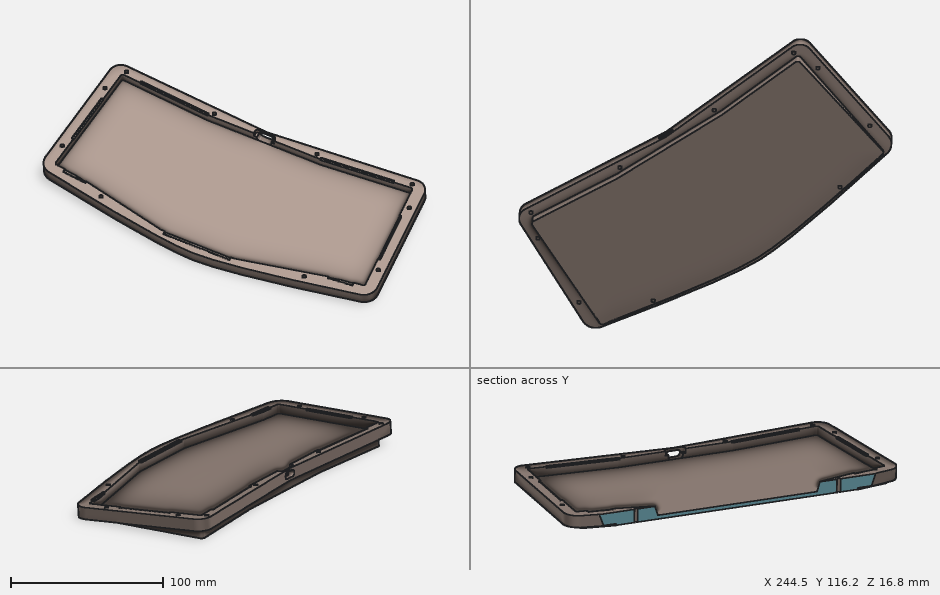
import cadquery as cq
import math


TILT = 4.2
TRAY_THICKNESS = 8.29
FRONT_MIDDLE = (0.0, 0.0)
FRONT_CURVE_POLE = (28.0, 0.0)
FRONT_CORNER = (122.92, 19.1)
BACK_CORNER = (115.1, 116.47)
BACK_MIDDLE = (0.0, 107.9)
FRONT_CORNER_RADIUS = 9.6
BACK_CORNER_RADIUS = 8.2

POCKET_DEPTH = 6.4
POCKET_FRONT_BEND = (27.0, 7.7)
POCKET_CORNER_BEND = (98.0, 23.3)
POCKET_FRONT_CORNER = (114.1, 25.1)
POCKET_BACK_CORNER = (107.1, 108.8)
POCKET_BACK_BEND = (42.2, 103.6)
POCKET_CORNER_RADIUS = 1.5

FOOT_FRONT_INSET = 2.0
FOOT_FRONT_CORNER = (113.6, 19.1)
FOOT_CORNER_RADIUS = 2.4
FOOT_DROP = 15.0
GROUND_SIZE = 400.0

LEDGE_DEPTH = 1.0
SLIM_LEDGE_WIDTH = 1.4
FRONT_LEDGE_WIDTH = 2.2
BACK_LEDGE_X = (41.5, 93.2)
SIDE_LEDGE_V = (48.3, 85.5)
FRONT_LEDGE_X = 24.2
CORNER_LEDGE_X = (89.3, 106.4)
CORNER_LEDGE_V = (20.2, 21.9)

SCREW_DIAMETER = 2.4
SCREW_POINTS = [(37.8, 106.3), (105.2, 111.7), (112.1, 93.8), (116.4, 40.3), (74.8, 14.7)]

PORT_WIDTH = 10.8
PORT_HEIGHT = 4.5
PORT_TOP_DEPTH = 1.85
PLUG_RECESS_WIDTH = 14.8
PLUG_RECESS_DEPTH = 3.2
PLUG_RECESS_RADIUS = 2.0
BACK_LIP_THICKNESS = 0.7


def mirrored(point):
    return (-point[0], point[1])


def both_sides(points):
    return points + [mirrored(point) for point in points]


def point_at_x(start, end, x):
    """Point of the line start-end at the given X."""
    share = (x - start[0]) / (end[0] - start[0])
    return (x, start[1] + share * (end[1] - start[1]))


def point_at_v(start, end, v):
    """Point of the line start-end at the given V."""
    share = (v - start[1]) / (end[1] - start[1])
    return (start[0] + share * (end[0] - start[0]), v)


def prism(outline, bottom, top):
    """Closed flat outline raised from height bottom to height top."""
    return outline.close().extrude(top - bottom).translate((0, 0, bottom))


def round_corners(body, points, radius):
    """Round the upright edges of a prism that stand on the given points and their mirrors."""
    middle = body.val().Center().z
    for x, v in both_sides(points):
        body = body.edges(cq.NearestToPointSelector((x, v, middle))).fillet(radius)
    return body


def bowed_outline(front_middle, pole, front_corner, back_points):
    """Outline with a curved front; back_points run from the right corner to the middle."""
    left_back = [mirrored(point) for point in reversed(back_points)]
    return (
        cq.Workplane("XY")
        .moveTo(*front_middle)
        .bezier([front_middle, pole, front_corner])
        .polyline(back_points + left_back[1:] + [mirrored(front_corner)], includeCurrent=True)
        .bezier([mirrored(front_corner), mirrored(pole), front_middle])
    )


def make_tray():
    outline = bowed_outline(FRONT_MIDDLE, FRONT_CURVE_POLE, FRONT_CORNER, [BACK_CORNER, BACK_MIDDLE])
    tray = prism(outline, 0, TRAY_THICKNESS)
    tray = round_corners(tray, [FRONT_CORNER], FRONT_CORNER_RADIUS)
    return round_corners(tray, [BACK_CORNER], BACK_CORNER_RADIUS)


def make_foot():
    """Foot block under the tray: sides and back below the pocket walls, front near the tray edge."""
    front_middle = (0.0, FOOT_FRONT_INSET)
    pole = (FRONT_CURVE_POLE[0], FOOT_FRONT_INSET)
    back_middle = (0.0, POCKET_BACK_BEND[1])
    back_points = [POCKET_BACK_CORNER, POCKET_BACK_BEND, back_middle]
    outline = bowed_outline(front_middle, pole, FOOT_FRONT_CORNER, back_points)
    foot = prism(outline, -FOOT_DROP, TRAY_THICKNESS - POCKET_DEPTH)
    return round_corners(foot, [FOOT_FRONT_CORNER, POCKET_BACK_CORNER], FOOT_CORNER_RADIUS)


def make_pocket():
    right = [
        POCKET_FRONT_BEND,
        POCKET_CORNER_BEND,
        POCKET_FRONT_CORNER,
        POCKET_BACK_CORNER,
        POCKET_BACK_BEND,
    ]
    left = [mirrored(point) for point in reversed(right)]
    outline = cq.Workplane("XY").polyline(right + left)
    pocket = prism(outline, TRAY_THICKNESS - POCKET_DEPTH, TRAY_THICKNESS)
    return round_corners(pocket, [POCKET_FRONT_CORNER, POCKET_BACK_CORNER], POCKET_CORNER_RADIUS)


def rim_cutter(points):
    outline = cq.Workplane("XY").polyline(points)
    return prism(outline, TRAY_THICKNESS - LEDGE_DEPTH, TRAY_THICKNESS)


def edge_ledge(start, end, width):
    """Ledge of even width beside the pocket edge start-end, with the pocket on its left."""
    length = math.dist(start, end)
    shift_x = width * (end[1] - start[1]) / length
    shift_v = -width * (end[0] - start[0]) / length
    outer_start = (start[0] + shift_x, start[1] + shift_v)
    outer_end = (end[0] + shift_x, end[1] + shift_v)
    return rim_cutter([start, end, outer_end, outer_start])


def corner_ledge():
    """Ledge that spans the bend of the pocket edge near the front corner."""
    inner_x, outer_x = CORNER_LEDGE_X
    inner_v, outer_v = CORNER_LEDGE_V
    return rim_cutter(
        [
            (inner_x, inner_v),
            (outer_x, outer_v),
            point_at_x(POCKET_CORNER_BEND, POCKET_FRONT_CORNER, outer_x),
            POCKET_CORNER_BEND,
            point_at_x(POCKET_FRONT_BEND, POCKET_CORNER_BEND, inner_x),
        ]
    )


def cut_ledges(body):
    back_edge = (POCKET_BACK_CORNER, POCKET_BACK_BEND)
    back_inner, back_outer = [point_at_x(*back_edge, x) for x in BACK_LEDGE_X]
    side_edge = (POCKET_FRONT_CORNER, POCKET_BACK_CORNER)
    side_front, side_back = [point_at_v(*side_edge, v) for v in SIDE_LEDGE_V]
    right_ledges = [
        edge_ledge(back_outer, back_inner, SLIM_LEDGE_WIDTH),
        edge_ledge(side_front, side_back, SLIM_LEDGE_WIDTH),
        corner_ledge(),
    ]
    for ledge in right_ledges:
        body = body.cut(ledge).cut(ledge.mirror("YZ"))
    front_end = (FRONT_LEDGE_X, POCKET_FRONT_BEND[1])
    return body.cut(edge_ledge(mirrored(front_end), front_end, FRONT_LEDGE_WIDTH))


def cut_screw_holes(body):
    holes = (
        cq.Workplane("XY")
        .workplane(offset=-FOOT_DROP)
        .pushPoints(both_sides(SCREW_POINTS))
        .circle(SCREW_DIAMETER / 2)
        .extrude(FOOT_DROP + TRAY_THICKNESS)
    )
    return body.cut(holes)


def cut_cable_port(body):
    """Rounded slot through the back wall, and a recess in the rim for the plug body."""
    wall_front = POCKET_BACK_BEND[1]
    wall_back = BACK_MIDDLE[1]
    reach = wall_back - wall_front
    port_middle = TRAY_THICKNESS - PORT_TOP_DEPTH - PORT_HEIGHT / 2
    port = (
        cq.Workplane("XZ", origin=(0, wall_front, port_middle))
        .slot2D(PORT_WIDTH, PORT_HEIGHT)
        .extrude(-2 * reach)
    )
    recess_back = wall_back - BACK_LIP_THICKNESS
    recess = (
        cq.Workplane("XY")
        .box(PLUG_RECESS_WIDTH, 2 * reach, PLUG_RECESS_DEPTH)
        .edges("|Z and >Y")
        .fillet(PLUG_RECESS_RADIUS)
        .translate((0, recess_back - reach, TRAY_THICKNESS - PLUG_RECESS_DEPTH / 2))
    )
    return body.cut(port).cut(recess)


def trim_level(body):
    """Tip the case back and keep what stands above the ground."""
    tipped = body.rotate((0, 0, 0), (1, 0, 0), TILT)
    above_ground = cq.Workplane("XY").box(GROUND_SIZE, GROUND_SIZE, GROUND_SIZE, centered=(True, True, False))
    return tipped.intersect(above_ground)


case = make_tray().union(make_foot()).cut(make_pocket())
case = cut_ledges(case)
case = cut_screw_holes(case)
case = cut_cable_port(case)
result = trim_level(case)